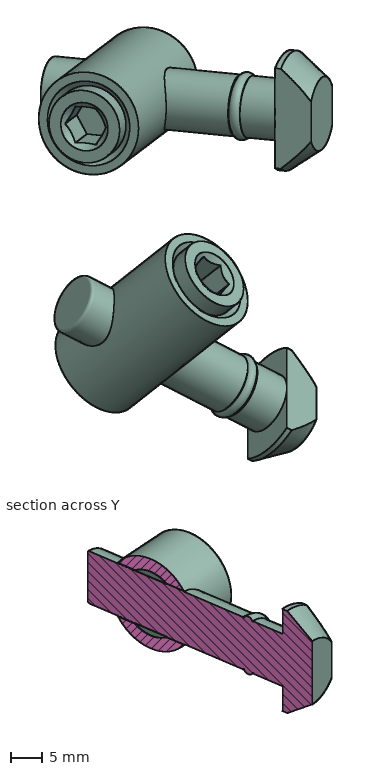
import cadquery as cq
import math


housing_diameter = 17.0
housing_front_y = -18.0
housing_back_y = 10.0

shank_diameter = 10.0
shank_end_x = -13.0
shank_edge_fillet = 0.5
bead_x = 20.0
bead_outer_diameter = 11.0
bead_section_radius = 1.0
groove_width = 2 * bead_section_radius
groove_depth = 0.25
head_start_x = 27.0
head_end_x = 33.15
head_rim_thickness = 1.0
head_diameter = 19.4
head_end_diameter = 12.0
head_width = shank_diameter

screw_diameter = 12.0
screw_protrusion = 2.0
screw_front_y = housing_front_y - screw_protrusion
screw_tip_y = -shank_diameter / 2
bore_end_y = 0.0
bore_mouth_diameter = 14.0
bore_mouth_depth = (bore_mouth_diameter - screw_diameter) / 2
hex_across_flats = 6.0
hex_across_corners = hex_across_flats / math.cos(math.pi / 6)
hex_depth = 6.0
socket_mouth_diameter = 8.0
socket_mouth_depth = (socket_mouth_diameter - hex_across_flats) / 2


def rod_along_x(start_x, end_x, diameter):
    return cq.Workplane("YZ", origin=(start_x, 0, 0)).circle(diameter / 2).extrude(end_x - start_x)


def rod_along_y(start_y, end_y, diameter):
    return cq.Workplane("XZ", origin=(0, start_y, 0)).circle(diameter / 2).extrude(start_y - end_y)


def countersink(face_y, mouth_diameter, inner_diameter, depth):
    """Cone on the Y axis that narrows in +Y from the mouth at face_y."""
    axis_start = cq.Vector(0, face_y, 0)
    axis_direction = cq.Vector(0, 1, 0)
    return cq.Workplane(
        cq.Solid.makeCone(mouth_diameter / 2, inner_diameter / 2, depth, axis_start, axis_direction)
    )


def make_housing():
    body = rod_along_y(housing_front_y, housing_back_y, housing_diameter)
    bolt_hole = rod_along_x(-housing_diameter, housing_diameter, shank_diameter)
    screw_bore = rod_along_y(housing_front_y, bore_end_y, screw_diameter)
    bore_mouth = countersink(housing_front_y, bore_mouth_diameter, screw_diameter, bore_mouth_depth)
    return body.cut(bolt_hole).cut(screw_bore).cut(bore_mouth)


def make_bolt_head():
    """Round head with a conical end, cut to a narrow bar by two flats."""
    cone_start_x = head_start_x + head_rim_thickness
    turned_head = (
        cq.Workplane("XY")
        .moveTo(head_start_x, 0)
        .lineTo(head_start_x, head_diameter / 2)
        .lineTo(cone_start_x, head_diameter / 2)
        .lineTo(head_end_x, head_end_diameter / 2)
        .lineTo(head_end_x, 0)
        .close()
        .revolve(360, (0, 0, 0), (1, 0, 0))
    )
    head_length = head_end_x - head_start_x
    bar = cq.Workplane("YZ", origin=(head_start_x, 0, 0)).rect(head_width, head_diameter).extrude(head_length)
    return turned_head.intersect(bar)


def make_bead_groove():
    """Shallow ring-shaped cut around the shank, which shows as a fine gap on both sides of the bead."""
    start_x = bead_x - groove_width / 2
    end_x = bead_x + groove_width / 2
    floor_diameter = shank_diameter - 2 * groove_depth
    return rod_along_x(start_x, end_x, bead_outer_diameter).cut(rod_along_x(start_x, end_x, floor_diameter))


def make_bead():
    """Ring of round section partly sunk in the shank."""
    ring_radius = bead_outer_diameter / 2 - bead_section_radius
    return (
        cq.Workplane("XY", origin=(bead_x, ring_radius, 0))
        .circle(bead_section_radius)
        .revolve(360, (0, -ring_radius, 0), (1, -ring_radius, 0))
    )


def make_bolt():
    shank = rod_along_x(shank_end_x, head_start_x, shank_diameter).faces("<X").edges().fillet(shank_edge_fillet)
    return shank.cut(make_bead_groove()).union(make_bead()).union(make_bolt_head())


def make_screw():
    body = rod_along_y(screw_front_y, screw_tip_y, screw_diameter)
    hex_socket = (
        cq.Workplane("XZ", origin=(0, screw_front_y, 0))
        .polygon(6, hex_across_corners)
        .extrude(-hex_depth)
    )
    socket_mouth = countersink(screw_front_y, socket_mouth_diameter, hex_across_flats, socket_mouth_depth)
    return body.cut(hex_socket).cut(socket_mouth)


housing = make_housing()
bolt = make_bolt()
screw = make_screw()

result = cq.Compound.makeCompound([housing.val(), bolt.val(), screw.val()])